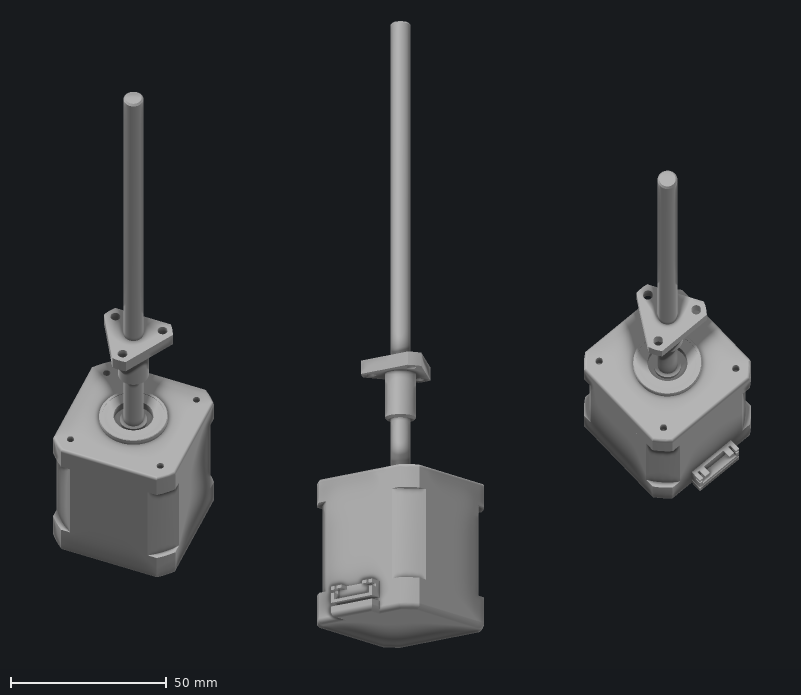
import cadquery as cq
import math

frame_width = 42.2
cap_corner_radius = 26.8
core_corner_radius = 25.0

rear_cap_top = 10.2
core_top = 40.0
motor_top = 47.8
boss_top = 49.8
screw_top = 200.2

base_fillet = 1.8
front_cap_fillet = 1.0

boss_radius = 11.0
boss_chamfer = 0.2
boss_face_radius = 10.0
boss_face_depth = 0.2
recess_radius = 6.5
recess_depth = 3.0

mount_spacing = 31.0
mount_hole_radius = 1.2
mount_hole_depth = 4.5

screw_radius = 3.2
collar_radius = 4.5
collar_height = 1.2
screw_chamfer = 0.6

nut_bottom = 69.0
flange_bottom = 84.0
flange_top = 88.5
nut_radius = 5.0
nut_chamfer = 0.6
flange_flat_distance = 8.2
flange_corner_radius = 12.6
flange_hole_circle = 9.5
flange_hole_radius = 1.6
flange_corner_angles = (30, 150, 270)

connector_width = 16.8
connector_reach = 4.0
connector_bottom = 4.8
shelf_top = 3.6
side_wall = 1.2
back_wall = 1.2
socket_floor = 1.0
roof_thickness = 1.0
roof_notch_width = 8.5
roof_slot_width = 0.8
roof_slot_offset = 6.6
window_height = 1.0
window_length = 2.0
window_bottom = 8.0

frame_half = frame_width / 2
recess_floor = boss_top - recess_depth
connector_end = frame_half + connector_reach


def cylinder(radius, bottom, top):
    return cq.Workplane("XY").workplane(offset=bottom).circle(radius).extrude(top - bottom)


def block(width, y_start, y_end, bottom, top):
    """A block centred on X, given by its ends along Y and Z."""
    return (
        cq.Workplane("XY")
        .box(width, y_end - y_start, top - bottom, centered=(True, False, False))
        .translate((0, y_start, bottom))
    )


def frame_section(corner_radius, bottom, top):
    """A length of the square frame with its corners turned to corner_radius."""
    square = block(frame_width, -frame_half, frame_half, bottom, top)
    return square.intersect(cylinder(corner_radius, bottom, top))


def make_motor_body():
    """Laminated core and rear cap, with the shelf that lies under the connector."""
    core = frame_section(core_corner_radius, rear_cap_top, core_top)
    rear_cap = frame_section(cap_corner_radius, 0, rear_cap_top)
    shelf = block(connector_width, 0, connector_end, 0, shelf_top)
    rear = rear_cap.union(shelf).faces("<Z").edges().fillet(base_fillet)
    return rear.union(core)


def make_front_cap():
    """Front cap with its sunken-faced centring boss, screw recess and mounting holes."""
    cap = frame_section(cap_corner_radius, core_top, motor_top)
    cap = cap.faces(">Z").edges().fillet(front_cap_fillet)
    boss = cylinder(boss_radius, motor_top, boss_top).faces(">Z").chamfer(boss_chamfer)
    sunken_face = cylinder(boss_face_radius, boss_top - boss_face_depth, boss_top)
    recess = cylinder(recess_radius, recess_floor, boss_top)
    mount_holes = (
        cq.Workplane("XY")
        .workplane(offset=motor_top)
        .rect(mount_spacing, mount_spacing, forConstruction=True)
        .vertices()
        .circle(mount_hole_radius)
        .extrude(-mount_hole_depth)
    )
    return cap.union(boss).cut(sunken_face).cut(recess).cut(mount_holes)


def make_screw():
    """Lead screw with a collar at its foot, standing on the floor of the recess."""
    rod = cylinder(screw_radius, recess_floor, screw_top).faces(">Z").chamfer(screw_chamfer)
    collar = cylinder(collar_radius, recess_floor, recess_floor + collar_height)
    return rod.union(collar)


def make_nut():
    """Round nut with a three-cornered flange, bored to fit the screw."""
    triangle_radius = 2 * flange_flat_distance
    corners = []
    holes = []
    for angle in flange_corner_angles:
        direction = cq.Vector(math.cos(math.radians(angle)), math.sin(math.radians(angle)))
        corners.append((direction * triangle_radius).toTuple()[:2])
        holes.append((direction * flange_hole_circle).toTuple()[:2])
    flange = (
        cq.Workplane("XY")
        .workplane(offset=flange_bottom)
        .polyline(corners)
        .close()
        .extrude(flange_top - flange_bottom)
        .intersect(cylinder(flange_corner_radius, flange_bottom, flange_top))
    )
    flange_holes = (
        cq.Workplane("XY")
        .workplane(offset=flange_bottom)
        .pushPoints(holes)
        .circle(flange_hole_radius)
        .extrude(flange_top - flange_bottom)
    )
    barrel = cylinder(nut_radius, nut_bottom, flange_bottom).faces("<Z").chamfer(nut_chamfer)
    bore = cylinder(screw_radius, nut_bottom, flange_top)
    return barrel.union(flange.cut(flange_holes)).cut(bore)


def make_connector():
    """Socket open towards +Y, with a notched and slotted roof and a small window in each side wall."""
    socket_back = frame_half + back_wall
    roof_bottom = rear_cap_top - roof_thickness
    shell = block(connector_width, frame_half, connector_end, connector_bottom, rear_cap_top)
    socket = block(
        connector_width - 2 * side_wall,
        socket_back,
        connector_end,
        connector_bottom + socket_floor,
        roof_bottom,
    )
    roof_notch = block(roof_notch_width, socket_back, connector_end, roof_bottom, rear_cap_top)
    windows = block(
        connector_width,
        connector_end - window_length,
        connector_end,
        window_bottom,
        window_bottom + window_height,
    )
    shell = shell.cut(socket).cut(roof_notch).cut(windows)
    roof_slot = block(roof_slot_width, socket_back, connector_end, roof_bottom, rear_cap_top)
    for side in (-1, 1):
        shell = shell.cut(roof_slot.translate((side * roof_slot_offset, 0, 0)))
    return shell


motor_body = make_motor_body()
front_cap = make_front_cap()
screw = make_screw()
nut = make_nut()
connector = make_connector()

result = cq.Compound.makeCompound(
    [motor_body.val(), front_cap.val(), screw.val(), nut.val(), connector.val()]
)